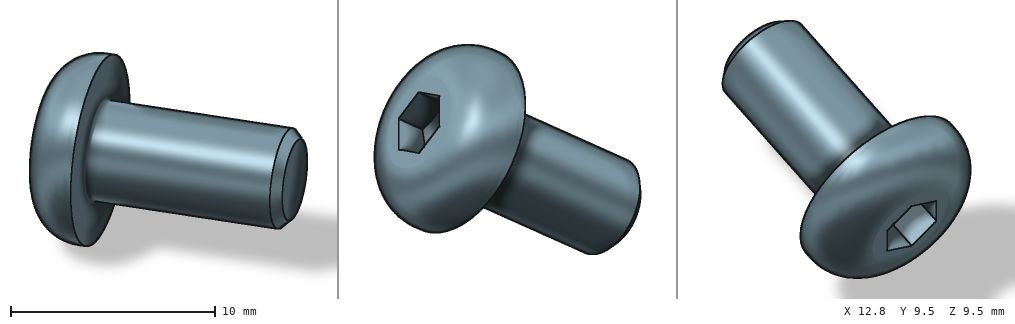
import cadquery as cq
import math

total_length = 12.75
head_diameter = 9.5
head_height = 2.75
rim_width = 0.38
shank_diameter = 5.0
neck_radius = 0.19
tip_chamfer_length = 0.48
tip_chamfer_depth = 0.48
hex_across_flats = 3.0
hex_depth = 1.55
socket_cone_angle = 120.0

head_radius = head_diameter / 2
shank_radius = shank_diameter / 2
dome_radius = head_height - rim_width
face_radius = head_radius - dome_radius


def make_body():
    """Revolve the half outline of head and shank about the X axis."""
    dome_middle = (
        dome_radius * (1 - math.cos(math.pi / 4)),
        face_radius + dome_radius * math.sin(math.pi / 4),
    )
    neck_inset = neck_radius * (1 - math.cos(math.pi / 4))
    neck_middle = (head_height + neck_inset, shank_radius + neck_inset)
    outline = (
        cq.Workplane("XY")
        .lineTo(0, face_radius)
        .threePointArc(dome_middle, (dome_radius, head_radius))
        .lineTo(head_height, head_radius)
        .lineTo(head_height, shank_radius + neck_radius)
        .threePointArc(neck_middle, (head_height + neck_radius, shank_radius))
        .lineTo(total_length - tip_chamfer_length, shank_radius)
        .lineTo(total_length, shank_radius - tip_chamfer_depth)
        .lineTo(total_length, 0)
        .close()
    )
    return outline.revolve(360, (0, 0, 0), (1, 0, 0))


def make_socket():
    """Hexagonal recess, corners toward +Z and -Z, with a conical floor."""
    corner_radius = hex_across_flats / math.sqrt(3)
    cone_height = corner_radius / math.tan(math.radians(socket_cone_angle / 2))
    prism = (
        cq.Workplane("YZ")
        .transformed(rotate=(0, 0, 90))
        .polygon(6, 2 * corner_radius)
        .extrude(hex_depth + cone_height)
    )
    pointed_bar = (
        cq.Workplane("XY")
        .lineTo(0, corner_radius)
        .lineTo(hex_depth, corner_radius)
        .lineTo(hex_depth + cone_height, 0)
        .close()
        .revolve(360, (0, 0, 0), (1, 0, 0))
    )
    return prism.intersect(pointed_bar)


result = make_body().cut(make_socket())